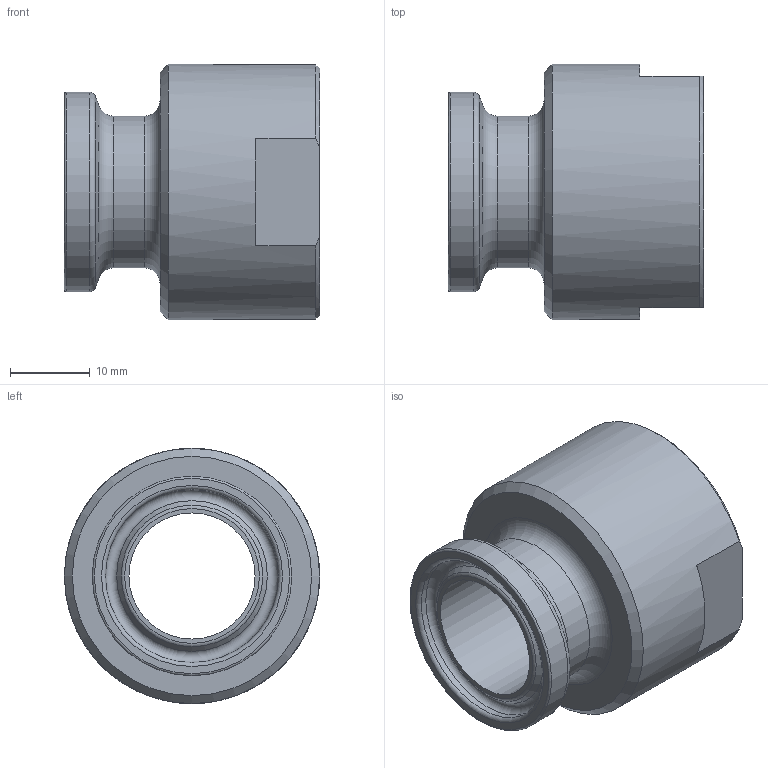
import cadquery as cq
import math

length = 32.0
body_start = 12.0

body_radius = 16.0
flange_radius = 12.5
neck_radius = 9.5
bore_radius = 7.9

front_chamfer = 1.0
rear_chamfer = 0.5
flat_length = 8.0
flat_offset = 14.5

flange_rim_end = 3.15
flange_face_round = 0.25
flange_rear_round = 0.8
flange_slope = math.radians(20)
neck_round = 2.0

groove_wall_radius = 10.85
groove_edge_round = 0.5
groove_floor_x = 2.1
groove_floor_round = 0.8
inner_wall_tilt = math.radians(40)
lip_outer_radius = 8.45
lip_round = 0.55


def arc_point(center, radius, angle):
    """Point (x, r) on a circle; the angle is measured from +x towards +r."""
    return (center[0] + radius * math.cos(angle), center[1] + radius * math.sin(angle))


def add_arc(profile, center, radius, start, end):
    """Draw an arc from the current point, which lies at the start angle."""
    middle = arc_point(center, radius, (start + end) / 2)
    return profile.threePointArc(middle, arc_point(center, radius, end))


def make_revolved_body():
    """Revolve the half section, with flange, groove, neck, body and bore, about X."""
    quarter = math.pi / 2

    floor_center = (groove_floor_x - groove_floor_round, groove_wall_radius - groove_floor_round)
    floor_start_angle = inner_wall_tilt - quarter
    floor_start = arc_point(floor_center, groove_floor_round, floor_start_angle)
    lip_round_end_radius = lip_outer_radius + lip_round * math.cos(inner_wall_tilt)
    lip_round_end_x = floor_start[0] - (floor_start[1] - lip_round_end_radius) / math.tan(inner_wall_tilt)
    lip_center = (lip_round_end_x + lip_round * math.sin(inner_wall_tilt), lip_outer_radius)
    lip_face_x = lip_center[0] - lip_round

    edge_center = (groove_edge_round, groove_wall_radius + groove_edge_round)

    face_center = (flange_face_round, flange_radius - flange_face_round)
    rear_center = (flange_rim_end, flange_radius - flange_rear_round)
    cone_start = arc_point(rear_center, flange_rear_round, flange_slope)
    neck_center_radius = neck_radius + neck_round
    cone_end_radius = neck_center_radius - neck_round * math.sin(flange_slope)
    cone_end_x = cone_start[0] + (cone_start[1] - cone_end_radius) * math.tan(flange_slope)
    neck_center = (cone_end_x + neck_round * math.cos(flange_slope), neck_center_radius)
    shoulder_center = (body_start - neck_round, neck_center_radius)

    profile = cq.Workplane("XY").moveTo(length, bore_radius)
    profile = profile.lineTo(lip_face_x, bore_radius).lineTo(lip_face_x, lip_outer_radius)
    profile = add_arc(profile, lip_center, lip_round, math.pi, quarter + inner_wall_tilt)
    profile = profile.lineTo(*floor_start)
    profile = add_arc(profile, floor_center, groove_floor_round, floor_start_angle, quarter)
    profile = profile.lineTo(edge_center[0], groove_wall_radius)
    profile = add_arc(profile, edge_center, groove_edge_round, -quarter, -math.pi)
    profile = profile.lineTo(0, face_center[1])
    profile = add_arc(profile, face_center, flange_face_round, math.pi, quarter)
    profile = profile.lineTo(flange_rim_end, flange_radius)
    profile = add_arc(profile, rear_center, flange_rear_round, quarter, flange_slope)
    profile = profile.lineTo(cone_end_x, cone_end_radius)
    profile = add_arc(profile, neck_center, neck_round, math.pi + flange_slope, 3 * quarter)
    profile = profile.lineTo(shoulder_center[0], neck_radius)
    profile = add_arc(profile, shoulder_center, neck_round, -quarter, 0)
    profile = profile.lineTo(body_start, body_radius - front_chamfer)
    profile = profile.lineTo(body_start + front_chamfer, body_radius)
    profile = profile.lineTo(length - rear_chamfer, body_radius)
    profile = profile.lineTo(length, body_radius - rear_chamfer)
    return profile.close().revolve(360, (0, 0, 0), (1, 0, 0))


def cut_wrench_flats(part):
    """Cut two parallel flats, on the -Y and +Y sides, at the rear end of the body."""
    for side in (-1, 1):
        cutter = cq.Workplane("XY").box(flat_length, body_radius, 2 * body_radius)
        cutter_y = side * (flat_offset + body_radius / 2)
        part = part.cut(cutter.translate((length - flat_length / 2, cutter_y, 0)))
    return part


result = cut_wrench_flats(make_revolved_body())